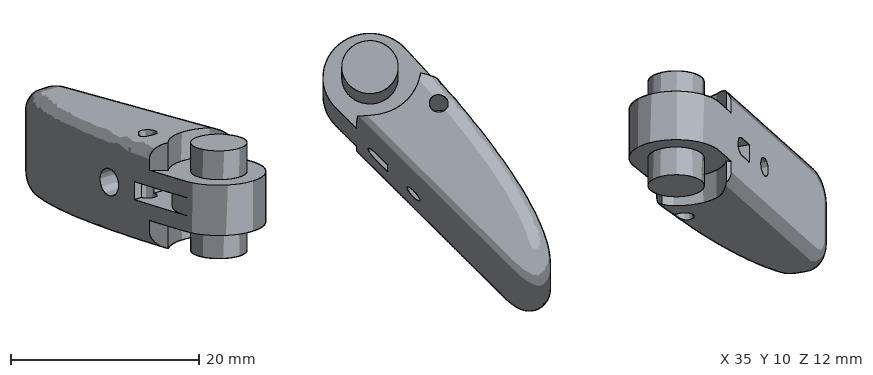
import cadquery as cq
import math

height = 12.0
lever_length = 30.0
barrel_radius = 5.0
barrel_height = 5.6
pin_diameter = 6.0
back_y = barrel_radius
flank_y = -barrel_radius

edge_fillet = 2.0
end_corner_radius = 4.0
nose_y = 2.55
nose_tilt = 21.0
nose_pull = 5.4
flank_control = (-14.1, -4.63)

clearance_radius = 5.4
rear_stop_angle = 122.5
front_stop_angle = 220.0

slot_width = 2.0
slot_start_x = -8.0

cross_hole_diameter = 2.0
cross_hole_y = -2.5
screw_hole_x = -12.0
screw_hole_diameter = 2.0
counterbore_diameter = 3.0
counterbore_end_y = 0.0

reach = 2 * lever_length


def cylinder_z(diameter, length, x=0.0, y=0.0):
    """Cylinder along Z, centred on the mid-plane."""
    return cq.Workplane("XY").center(x, y).circle(diameter / 2).extrude(length / 2, both=True)


def cylinder_y(diameter, x, start_y, end_y):
    """Cylinder along Y on the mid-plane, from start_y up to end_y."""
    start_plane = cq.Workplane("XZ", origin=(x, start_y, 0))
    return start_plane.circle(diameter / 2).extrude(start_y - end_y)


def slot_block(start_x, end_x, start_y, end_y):
    """Block as high as the slot, on the mid-plane."""
    block = cq.Workplane("XY").box(end_x - start_x, end_y - start_y, slot_width)
    return block.translate(((start_x + end_x) / 2, (start_y + end_y) / 2, 0))


def lever_body():
    """Flat back, curved flank and rounded end, with the back and flank edges filleted."""
    tilt = math.radians(nose_tilt)
    nose_control = (
        -lever_length + nose_pull * math.sin(tilt),
        nose_y - nose_pull * math.cos(tilt),
    )
    plan = (
        cq.Workplane("XY", origin=(0, 0, -height / 2))
        .moveTo(0, back_y)
        .lineTo(-lever_length, back_y)
        .lineTo(-lever_length, nose_y)
        .bezier([nose_control, flank_control, (0, flank_y)], includeCurrent=True)
        .close()
        .extrude(height)
    )
    rounded_end = (
        cq.Workplane("XY")
        .box(2 * lever_length, back_y - flank_y, height)
        .edges("|Y")
        .fillet(end_corner_radius)
    )
    body = plan.intersect(rounded_end)
    body = body.faces(">Y").edges("not(>X)").fillet(edge_fillet)
    return body.faces("<Y").edges("not(>X)").fillet(edge_fillet)


def ray_end(angle):
    """Far point on the ray from the pivot at the given angle."""
    turn = math.radians(angle)
    return (reach * math.cos(turn), reach * math.sin(turn))


def clearance_cut():
    """Room for the mating part: a disc around the pivot and all beyond two radial stops."""
    disc = cylinder_z(2 * clearance_radius, height)
    beyond_stops = (
        cq.Workplane("XY")
        .moveTo(0, 0)
        .lineTo(*ray_end(front_stop_angle))
        .lineTo(reach, -reach)
        .lineTo(reach, reach)
        .lineTo(*ray_end(rear_stop_angle))
        .close()
        .extrude(height / 2, both=True)
    )
    barrel_layer = cq.Workplane("XY").box(2 * reach, 2 * reach, barrel_height)
    return disc.union(beyond_stops).cut(barrel_layer)


def slot_cut():
    """Slot open along the flank up to the pivot, leaving through the back with a round end at the barrel."""
    round_end_x = -barrel_radius - slot_width / 2
    flank_opening = slot_block(slot_start_x, 0, flank_y, 0)
    back_opening = slot_block(slot_start_x, round_end_x, 0, back_y)
    round_end = cylinder_y(slot_width, round_end_x, flank_y, back_y)
    return flank_opening.union(back_opening).union(round_end)


def screw_hole_cut():
    """Counterbored hole through the lever, entered from the flank."""
    hole = cylinder_y(screw_hole_diameter, screw_hole_x, flank_y, back_y)
    counterbore = cylinder_y(counterbore_diameter, screw_hole_x, flank_y, counterbore_end_y)
    return hole.union(counterbore)


cross_hole = cylinder_z(cross_hole_diameter, height, slot_start_x, cross_hole_y)
lever = lever_body().cut(clearance_cut()).cut(slot_cut()).cut(cross_hole).cut(screw_hole_cut())

barrel = cylinder_z(2 * barrel_radius, barrel_height)
pin = cylinder_z(pin_diameter, height)
result = lever.union(barrel).union(pin)